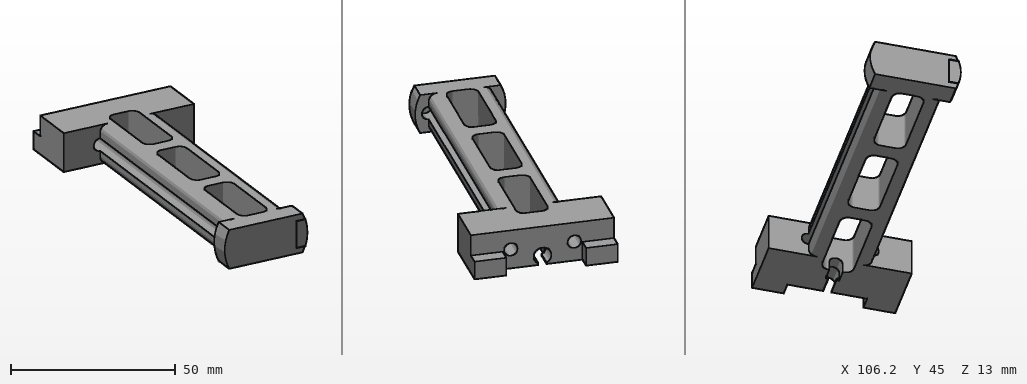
import cadquery as cq

total_length = 106.2
block_width = 45.0
height = 13.0
mid_height = height / 2

lug_length = 4.2
lug_width = 10.0
lug_height = 6.1
block_length = 15.0
block_end = lug_length + block_length

rail_length = 80.0
rail_end = block_end + rail_length
rail_width = 20.0
rail_edge_radius = 2.5

rod_diameter = 4.2
rod_spacing = rail_width
rod_plate_depth = 4.2
rod_hole_end = rail_end + rod_plate_depth

pocket_count = 3
pocket_length = 25.0
pocket_width = 10.0
pocket_pitch = 30.0
pocket_radius = 2.5
last_pocket_center = rail_end - pocket_length / 2

plate_diameter = 28.5
pad_thickness = 0.3
plate_end = total_length - pad_thickness
pad_width = 3.7
pad_height = 8.9

bore_height = 3.0
bore_diameter = 5.5
bore_depth = 6.0
bore_end = lug_length + bore_depth
inner_bore_diameter = 4.2
slot_width = 2.5


def box(x_start, x_end, width, tall, y_center=0.0, z_start=0.0):
    """Box between two X positions, centred on y_center."""
    return (
        cq.Workplane("XY")
        .box(x_end - x_start, width, tall, centered=(False, True, False))
        .translate((x_start, y_center, z_start))
    )


def rod(x_start, x_end, diameter, y_center, z_center):
    """Cylinder along X between two X positions."""
    return (
        cq.Workplane("YZ", origin=(x_start, y_center, z_center))
        .circle(diameter / 2)
        .extrude(x_end - x_start)
    )


def make_block():
    block = box(lug_length, block_end, block_width, height)
    for side in (-1, 1):
        lug_center = side * (block_width - lug_width) / 2
        block = block.union(box(0, block_end, lug_width, lug_height, lug_center))
    return block


def make_rail():
    return box(block_end, rail_end, rail_width, height).edges("|X").fillet(rail_edge_radius)


def make_end_plate():
    disc = rod(rail_end, total_length, plate_diameter, 0, mid_height)
    plate = disc.intersect(box(rail_end, plate_end, plate_diameter, height))
    pad_center = (plate_diameter - pad_width) / 2
    pad_bottom = mid_height - pad_height / 2
    pad = box(plate_end, total_length, pad_width, pad_height, pad_center, pad_bottom)
    return plate.union(disc.intersect(pad))


def make_pockets():
    pockets = cq.Workplane("XY")
    for index in range(pocket_count):
        center = last_pocket_center - index * pocket_pitch
        pocket = box(center - pocket_length / 2, center + pocket_length / 2, pocket_width, height)
        pockets = pockets.add(pocket.edges("|Z").fillet(pocket_radius))
    return pockets.combine()


def make_bore():
    first_pocket_center = last_pocket_center - (pocket_count - 1) * pocket_pitch
    outer = rod(lug_length, bore_end, bore_diameter, 0, bore_height)
    inner = rod(bore_end, first_pocket_center, inner_bore_diameter, 0, bore_height)
    slot = box(lug_length, bore_end, slot_width, bore_height)
    inner_slot = box(bore_end, first_pocket_center, inner_bore_diameter, bore_height)
    return outer.union(inner).union(slot).union(inner_slot)


result = make_block().union(make_rail()).union(make_end_plate())
result = result.cut(make_pockets()).cut(make_bore())
for side in (-1, 1):
    result = result.cut(rod(lug_length, rod_hole_end, rod_diameter, side * rod_spacing / 2, mid_height))